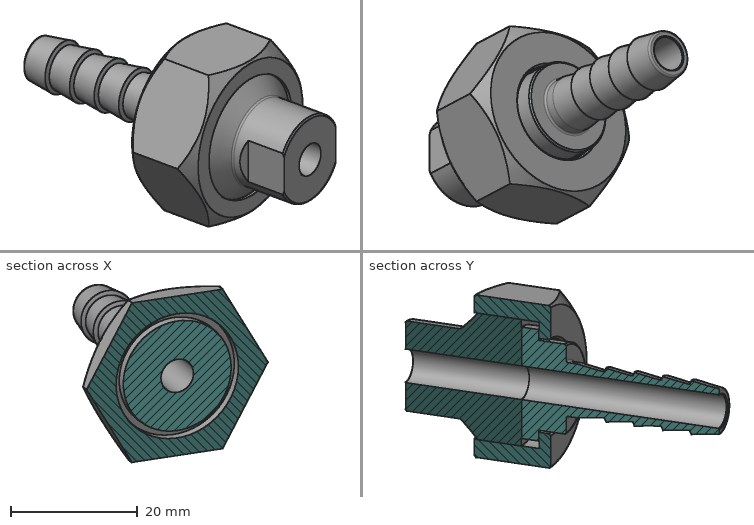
import cadquery as cq
import math

length = 55.0
bore_r = 2.75
bore_chamfer = 0.15
stem_r = 15.0 / 2

tip_r = 3.85
tip_round = 0.35
barb_r = 4.5
barb_count = 5
barbed_length = 24.85
barb_pitch = barbed_length / barb_count
barb_step = 0.35
root_fillet = 0.35
collar_x = 26.85
collar_r = stem_r
collar_chamfer = 0.3
flange_x = 31.6
flange_r = 9.3
joint_x = 34.65

nut_x = 29.55
nut_width = 13.4
nut_flats = 27.0
nut_face_r = 13.2
nut_chamfer_length = 2.25
lip_r = 7.75
lip_chamfer = 0.35
thread_r = 10.45

stem_end_chamfer = 0.3
cone_fillet = 0.55
cone_end_x = 45.3
flat_half_width = 6.55
flat_x = 47.8

nut_end_x = nut_x + nut_width
nut_corner_r = nut_flats / 2 / math.cos(math.pi / 6)


def revolve_about_x(profile):
    """Revolve a profile drawn as (x, radius) into a solid about the X axis."""
    return profile.close().revolve(360, (0, 0, 0), (1, 0, 0))


def make_hose_tail():
    profile = (
        cq.Workplane("XY")
        .moveTo(0, bore_r + bore_chamfer)
        .lineTo(0, tip_r - tip_round)
        .radiusArc((tip_round, tip_r), tip_round)
    )
    for barb in range(1, barb_count + 1):
        crest_x = barb * barb_pitch
        profile = profile.lineTo(crest_x, barb_r)
        if barb < barb_count:
            profile = profile.lineTo(crest_x + barb_step, tip_r)
    profile = (
        profile
        .lineTo(collar_x - root_fillet, barb_r)
        .radiusArc((collar_x, barb_r + root_fillet), -root_fillet)
        .lineTo(collar_x, collar_r - collar_chamfer)
        .lineTo(collar_x + collar_chamfer, collar_r)
        .lineTo(flange_x, collar_r)
        .lineTo(flange_x, flange_r)
        .lineTo(joint_x, flange_r)
        .lineTo(joint_x, bore_r)
        .lineTo(bore_chamfer, bore_r)
    )
    return revolve_about_x(profile)


def make_nut():
    hexagon = cq.Workplane("YZ", origin=(nut_x, 0, 0)).polygon(6, 2 * nut_corner_r).extrude(nut_width)
    corner_chamfers = revolve_about_x(
        cq.Workplane("XY")
        .moveTo(nut_x, 0)
        .lineTo(nut_x, nut_face_r)
        .lineTo(nut_x + nut_chamfer_length, nut_corner_r)
        .lineTo(nut_end_x - nut_chamfer_length, nut_corner_r)
        .lineTo(nut_end_x, nut_face_r)
        .lineTo(nut_end_x, 0)
    )
    opening = revolve_about_x(
        cq.Workplane("XY")
        .moveTo(nut_x, 0)
        .lineTo(nut_x, lip_r + lip_chamfer)
        .lineTo(nut_x + lip_chamfer, lip_r)
        .lineTo(flange_x, lip_r)
        .lineTo(flange_x, thread_r)
        .lineTo(nut_end_x, thread_r)
        .lineTo(nut_end_x, 0)
    )
    return hexagon.intersect(corner_chamfers).cut(opening)


def make_stem():
    fillet_setback = cone_fillet * math.tan(math.pi / 8)
    fillet_rise = fillet_setback / math.sqrt(2)
    cone_start_x = cone_end_x - (thread_r - stem_r)
    body = revolve_about_x(
        cq.Workplane("XY")
        .moveTo(joint_x, bore_r)
        .lineTo(joint_x, thread_r)
        .lineTo(cone_start_x, thread_r)
        .lineTo(cone_end_x - fillet_rise, stem_r + fillet_rise)
        .radiusArc((cone_end_x + fillet_setback, stem_r), -cone_fillet)
        .lineTo(length - stem_end_chamfer, stem_r)
        .lineTo(length, stem_r - stem_end_chamfer)
        .lineTo(length, bore_r)
    )
    return cut_wrench_flats(body)


def cut_wrench_flats(body):
    """Cut two opposite flats, each with a 45 degree run-out."""
    flat_depth = stem_r - flat_half_width
    for side in (-1, 1):
        cutter = (
            cq.Workplane("XY", origin=(0, 0, -stem_r))
            .moveTo(length, side * flat_half_width)
            .lineTo(flat_x, side * flat_half_width)
            .lineTo(flat_x - flat_depth, side * stem_r)
            .lineTo(length, side * stem_r)
            .close()
            .extrude(2 * stem_r)
        )
        body = body.cut(cutter)
    return body


hose_tail = make_hose_tail()
nut = make_nut()
stem = make_stem()

result = cq.Compound.makeCompound([hose_tail.val(), nut.val(), stem.val()])